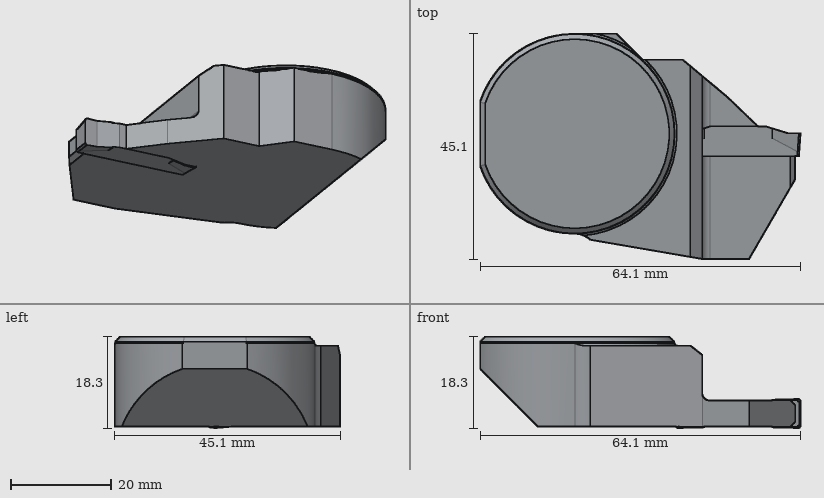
import cadquery as cq
import math

HEAD_RADIUS = 20.0
HEAD_HEIGHT = 18.0
HEAD_FLAT_X = -18.9
SHOULDER_HEIGHT = 16.65
RIM_RADIUS = 19.95
RIM_CHAMFER = 1.0
UNDERCUT_HEIGHT = 11.55

BLOCK_HEIGHT = 16.2
BLOCK_END_X = 25.5
BLOCK_CHAMFER_LENGTH = 2.4
BLOCK_CHAMFER_DEPTH = 1.85
HEAD_FILLET = 0.45

BLADE_HEIGHT = 5.25
BLADE_END_X = 44.1
BLADE_CHAMFER = 0.95
BLADE_FILLET = 1.5

HEEL_X = 8.4
SHELF_Y = 14.8
SHELF_START_X = HEEL_X + HEAD_RADIUS - SHELF_Y
SHELF_END_X = 21.6
BACK_KINK_X = 30.5
BACK_KINK_Y = 7.4
BACK_END_X = 36.65
FRONT_Y = -25.05
FRONT_END_X = 34.9
BLADE_CORNER_Y = -9.1
BLEND_END_X = 3.15
BLEND_DROP = 1.2

INSERT_CENTER_X = 32.7
INSERT_TIP_X = 45.2
INSERT_BASE_X = 44.9
INSERT_BASE_Y = -4.5
INSERT_BACK_Y = 1.5
EDGE_Y = 0.1
RAKE_START_X = 42.6
SLOPE_START_X = 38.25
INSERT_CHAMFER = 0.4

WIDE_START_X = 39.5
WIDE_LINE_X = 39.7
WIDE_LINE_Y = -0.95
WIDE_LINE_ANGLE = 28.0
WIDE_AT_TIP = 0.335


def holder_plan():
    """Prism of the full plan outline, as tall as the head."""
    flat_half = math.sqrt(HEAD_RADIUS**2 - HEAD_FLAT_X**2)
    diagonal = HEAD_RADIUS * math.sqrt(0.5)
    blend_radius = (BLEND_END_X**2 + BLEND_DROP**2) / (2 * BLEND_DROP)
    blend_angle = math.asin(BLEND_END_X / blend_radius) / 2
    blend_middle = (
        blend_radius * math.sin(blend_angle),
        -HEAD_RADIUS - blend_radius * (1 - math.cos(blend_angle)),
    )
    return (
        cq.Workplane("XY")
        .moveTo(HEAD_FLAT_X, flat_half)
        .threePointArc((-diagonal, diagonal), (0, HEAD_RADIUS))
        .lineTo(HEEL_X, HEAD_RADIUS)
        .lineTo(SHELF_START_X, SHELF_Y)
        .lineTo(SHELF_END_X, SHELF_Y)
        .lineTo(BACK_KINK_X, BACK_KINK_Y)
        .lineTo(BACK_END_X, INSERT_BACK_Y)
        .lineTo(BACK_END_X, INSERT_BASE_Y)
        .lineTo(BLADE_END_X, INSERT_BASE_Y)
        .lineTo(BLADE_END_X, BLADE_CORNER_Y)
        .lineTo(FRONT_END_X, FRONT_Y)
        .lineTo(BLOCK_END_X, FRONT_Y)
        .lineTo(BLEND_END_X, -HEAD_RADIUS - BLEND_DROP)
        .threePointArc(blend_middle, (0, -HEAD_RADIUS))
        .threePointArc((-diagonal, -diagonal), (HEAD_FLAT_X, -flat_half))
        .close()
        .extrude(HEAD_HEIGHT)
    )


def block_and_blade():
    """Side profile of the block and blade, swept across the whole width."""
    fillet_center = (BLOCK_END_X + BLADE_FILLET, BLADE_HEIGHT + BLADE_FILLET)
    fillet_offset = BLADE_FILLET * math.sqrt(0.5)
    fillet_middle = (fillet_center[0] - fillet_offset, fillet_center[1] - fillet_offset)
    return (
        cq.Workplane("XZ")
        .moveTo(HEAD_FLAT_X, 0)
        .lineTo(BLADE_END_X - BLADE_CHAMFER, 0)
        .lineTo(BLADE_END_X, BLADE_CHAMFER)
        .lineTo(BLADE_END_X, BLADE_HEIGHT - BLADE_CHAMFER)
        .lineTo(BLADE_END_X - BLADE_CHAMFER, BLADE_HEIGHT)
        .lineTo(fillet_center[0], BLADE_HEIGHT)
        .threePointArc(fillet_middle, (BLOCK_END_X, fillet_center[1]))
        .lineTo(BLOCK_END_X, BLOCK_HEIGHT - BLOCK_CHAMFER_DEPTH)
        .lineTo(BLOCK_END_X - BLOCK_CHAMFER_LENGTH, BLOCK_HEIGHT)
        .lineTo(HEAD_FLAT_X, BLOCK_HEIGHT)
        .close()
        .extrude(2 * abs(FRONT_Y), both=True)
    )


def round_head():
    """Head turned about Z: step, chamfered rim and the fillet onto the block top."""
    fillet_center = (HEAD_RADIUS + HEAD_FILLET, BLOCK_HEIGHT + HEAD_FILLET)
    fillet_offset = HEAD_FILLET * math.sqrt(0.5)
    fillet_middle = (fillet_center[0] - fillet_offset, fillet_center[1] - fillet_offset)
    return (
        cq.Workplane("XZ")
        .moveTo(0, BLOCK_HEIGHT)
        .lineTo(fillet_center[0], BLOCK_HEIGHT)
        .threePointArc(fillet_middle, (HEAD_RADIUS, SHOULDER_HEIGHT))
        .lineTo(RIM_RADIUS, SHOULDER_HEIGHT)
        .lineTo(RIM_RADIUS, HEAD_HEIGHT - RIM_CHAMFER)
        .lineTo(RIM_RADIUS - RIM_CHAMFER, HEAD_HEIGHT)
        .lineTo(0, HEAD_HEIGHT)
        .close()
        .revolve(360, (0, 0, 0), (0, 1, 0))
    )


def flat_corner_cut(z_edge, leg):
    """45 degree cut along the head flat: below z_edge, or above it for a negative leg."""
    return (
        cq.Workplane("XZ")
        .moveTo(HEAD_FLAT_X, z_edge)
        .lineTo(HEAD_FLAT_X + abs(leg), z_edge)
        .lineTo(HEAD_FLAT_X, z_edge - leg)
        .close()
        .extrude(2 * HEAD_RADIUS, both=True)
    )


def insert_half_plan(thickness):
    """Plan outline of the +X half of the insert, as a prism standing on z = 0."""
    outline = [
        (INSERT_CENTER_X, INSERT_BASE_Y),
        (INSERT_BASE_X, INSERT_BASE_Y),
        (INSERT_TIP_X, EDGE_Y),
        (RAKE_START_X, EDGE_Y),
        (SLOPE_START_X, INSERT_BACK_Y),
        (INSERT_CENTER_X, INSERT_BACK_Y),
    ]
    return cq.Workplane("XY").polyline(outline).close().extrude(thickness)


def mirrored_about_center(half):
    """Join a +X half of the insert to its mirror image."""
    return half.union(half.mirror("YZ", (INSERT_CENTER_X, 0, 0)))


def tip_widening():
    """Wedge above the blade thickness that rises from a slanted line to the cutting edge."""
    angle = math.radians(WIDE_LINE_ANGLE)
    across = (math.sin(angle), math.cos(angle), 0)
    along = (math.cos(angle), -math.sin(angle), 0)
    tip_distance = (INSERT_TIP_X - WIDE_LINE_X) * across[0] + (EDGE_Y - WIDE_LINE_Y) * across[1]
    length = INSERT_TIP_X - SLOPE_START_X
    wedge = (
        cq.Workplane(cq.Plane((WIDE_LINE_X, WIDE_LINE_Y, BLADE_HEIGHT), across, along))
        .polyline([(0, 0), (tip_distance, 0), (tip_distance, WIDE_AT_TIP)])
        .close()
        .extrude(length, both=True)
    )
    head_length = INSERT_TIP_X - WIDE_START_X
    head_width = INSERT_BACK_Y - INSERT_BASE_Y
    head_zone = cq.Workplane("XY").box(
        head_length, head_width, 2 * BLADE_HEIGHT, centered=False
    ).translate((WIDE_START_X, INSERT_BASE_Y, 0))
    return wedge.intersect(head_zone).intersect(insert_half_plan(2 * BLADE_HEIGHT))


def make_insert():
    """Two mirrored halves, each with widened tips and chamfered end edges."""
    top_wedge = tip_widening()
    bottom_wedge = top_wedge.mirror("XY", (0, 0, BLADE_HEIGHT / 2))
    half = insert_half_plan(BLADE_HEIGHT).union(top_wedge).union(bottom_wedge)
    end_middle = (INSERT_BASE_X, (INSERT_BASE_Y + EDGE_Y) / 2, BLADE_HEIGHT / 2)
    end_face = half.faces(cq.selectors.NearestToPointSelector(end_middle))
    half = end_face.edges("not |Z").chamfer(INSERT_CHAMFER)
    return mirrored_about_center(half)


def make_holder(insert):
    """Head, block and blade in one solid, with a seat for the insert."""
    plan = holder_plan()
    holder = block_and_blade().intersect(plan).union(round_head().intersect(plan))
    holder = holder.cut(flat_corner_cut(0, -UNDERCUT_HEIGHT))
    holder = holder.cut(flat_corner_cut(HEAD_HEIGHT, RIM_CHAMFER))
    open_zone = cq.Workplane("XY").box(
        INSERT_TIP_X, 2 * HEAD_RADIUS, HEAD_HEIGHT, centered=(False, True, False)
    ).translate((BLOCK_END_X, 0, 0))
    slot = mirrored_about_center(insert_half_plan(HEAD_HEIGHT)).intersect(open_zone)
    return holder.cut(insert).cut(slot)


insert = make_insert()
holder = make_holder(insert)

result = cq.Compound.makeCompound([holder.val(), insert.val()])